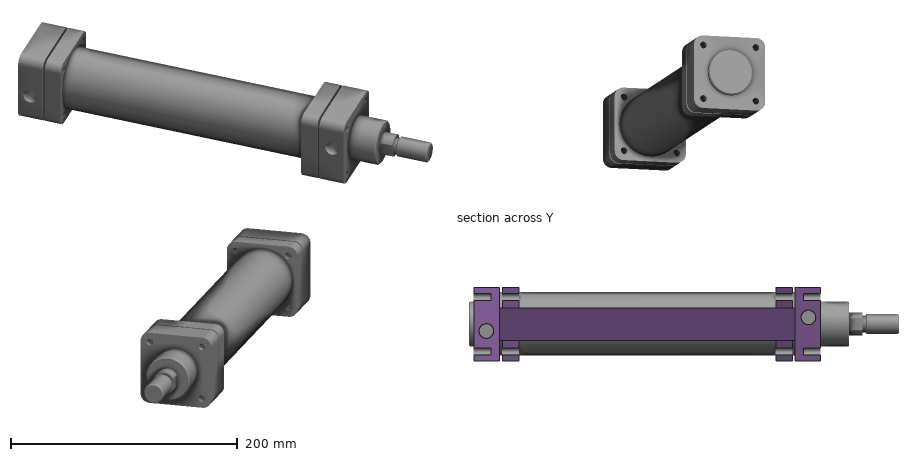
import cadquery as cq


overall_length = 379.0
block_size = 65.0
corner_radius = 8.0
cap_thickness = 23.0
flange_thickness = 15.0
flange_gap = 2.0

boss_diameter = 40.0
boss_chamfer = 1.0
rear_boss_length = 4.0
front_boss_length = 25.0

barrel_diameter = 56.0
barrel_length = 260.0

mount_hole_spacing = 48.0
mount_hole_diameter = 6.0
mount_hole_depth = 15.0

port_diameter = 12.5
port_depth = 15.0
port_offset = 6.0
port_inset = 11.0

rod_diameter = 20.0
rod_collar_length = 1.0
wrench_flat_length = 11.0
across_flats = 17.0
neck_diameter = 15.0
neck_length = 3.0
thread_diameter = 18.0
thread_chamfer = 1.0

rear_cap_start = rear_boss_length
barrel_start = rear_cap_start + cap_thickness
barrel_end = barrel_start + barrel_length
front_cap_end = barrel_end + cap_thickness
front_boss_end = front_cap_end + front_boss_length
flats_start = front_boss_end + rod_collar_length
flats_end = flats_start + wrench_flat_length
thread_start = flats_end + neck_length
thread_length = overall_length - thread_start


def section_at(x):
    """Workplane across the axis at X = x, facing +X."""
    return cq.Workplane("YZ", origin=(x, 0, 0))


def cylinder(x, diameter, length):
    return section_at(x).circle(diameter / 2).extrude(length)


def square_block(x, thickness):
    block = section_at(x).rect(block_size, block_size).extrude(thickness)
    return block.edges("|X").fillet(corner_radius)


def mount_holes(x, depth):
    """Cutters for the four corner holes; a negative depth runs toward -X."""
    corners = section_at(x).rect(mount_hole_spacing, mount_hole_spacing, forConstruction=True).vertices()
    return corners.circle(mount_hole_diameter / 2).extrude(depth)


def port(x, z):
    """Cutter for an air port that enters through the -Y side."""
    side = cq.Workplane("XZ", origin=(x, -block_size / 2, z))
    return side.circle(port_diameter / 2).extrude(-port_depth)


def make_rear_cap():
    boss = cylinder(0, boss_diameter, rear_boss_length).faces("<X").chamfer(boss_chamfer)
    cap = square_block(rear_cap_start, cap_thickness).union(boss)
    cap = cap.cut(mount_holes(rear_cap_start, mount_hole_depth))
    return cap.cut(port(rear_cap_start + port_inset, -port_offset))


def make_front_cap():
    boss = cylinder(front_cap_end, boss_diameter, front_boss_length).faces(">X").chamfer(boss_chamfer)
    cap = square_block(barrel_end, cap_thickness).union(boss)
    cap = cap.cut(mount_holes(front_cap_end, -mount_hole_depth))
    cap = cap.cut(port(front_cap_end - port_inset, port_offset))
    return cap.cut(cylinder(barrel_end, rod_diameter, front_boss_end - barrel_end))


def make_flange(x):
    """Square flange that slides over the barrel, with through mounting holes."""
    flange = square_block(x, flange_thickness)
    flange = flange.cut(mount_holes(x, flange_thickness))
    return flange.cut(cylinder(x, barrel_diameter, flange_thickness))


def make_barrel():
    return cylinder(barrel_start, barrel_diameter, barrel_length)


def make_rod():
    """Rod with two wrench flats, a thread relief neck and a chamfered thread."""
    shank = cylinder(barrel_end, rod_diameter, flats_start - barrel_end)
    flats_round = cylinder(flats_start, rod_diameter, wrench_flat_length)
    flats_limit = section_at(flats_start).rect(across_flats, rod_diameter).extrude(wrench_flat_length)
    neck = cylinder(flats_end, neck_diameter, neck_length)
    thread = cylinder(thread_start, thread_diameter, thread_length).faces("<X or >X").chamfer(thread_chamfer)
    return shank.union(flats_round.intersect(flats_limit)).union(neck).union(thread)


rear_cap = make_rear_cap()
front_cap = make_front_cap()
barrel = make_barrel()
rod = make_rod()
flange_starts = [barrel_start + flange_gap, barrel_end - flange_gap - flange_thickness]
flanges = [make_flange(x) for x in flange_starts]

result = cq.Compound.makeCompound(
    [rear_cap.val(), front_cap.val(), barrel.val(), rod.val()] + [flange.val() for flange in flanges]
)